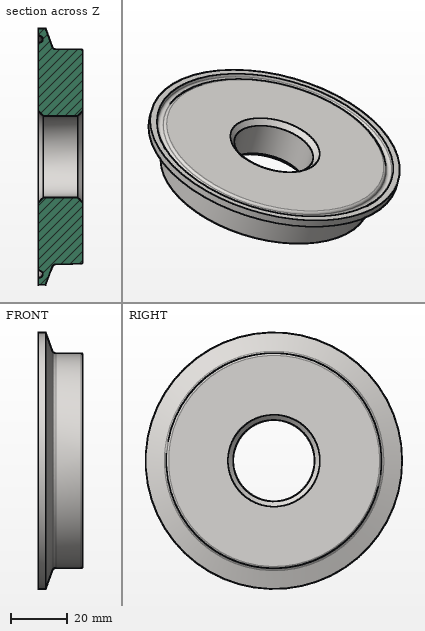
import cadquery as cq
import math

length = 15.9
flange_diameter = 90.9
hub_diameter = 76.2
flange_radius = flange_diameter / 2
hub_radius = hub_diameter / 2

rim_width = 2.7
clamp_angle = 20
hub_root_fillet = 1.2
hub_end_fillet = 0.7

bore_radius = 14.4
mouth_chamfer = 1.9

groove_radius = 41.6
groove_depth = 1.6
groove_bottom_round = 1.1
inner_lip_round = 1.1
outer_wall_angle = 22


def make_body():
    """Flange with a sloped back, running into the cylindrical hub."""
    slope_length = (flange_radius - hub_radius) * math.tan(math.radians(clamp_angle))
    hub_start = rim_width + slope_length
    body = (
        cq.Workplane("XY")
        .moveTo(0, 0)
        .lineTo(0, flange_radius)
        .lineTo(rim_width, flange_radius)
        .lineTo(hub_start, hub_radius)
        .lineTo(length, hub_radius)
        .lineTo(length, 0)
        .close()
        .revolve(360, (0, 0, 0), (1, 0, 0))
    )
    margin = hub_root_fillet / 10
    hub_root = cq.selectors.BoxSelector(
        (hub_start - margin, -flange_radius, -flange_radius),
        (hub_start + margin, flange_radius, flange_radius),
        boundingbox=True,
    )
    return body.edges(hub_root).fillet(hub_root_fillet).faces(">X").edges().fillet(hub_end_fillet)


def make_bore():
    """Round hole along the axis, opened out at 45 degrees at both ends."""
    return (
        cq.Workplane("XY")
        .lineTo(0, bore_radius + mouth_chamfer)
        .lineTo(mouth_chamfer, bore_radius)
        .lineTo(length - mouth_chamfer, bore_radius)
        .lineTo(length, bore_radius + mouth_chamfer)
        .lineTo(length, 0)
        .close()
        .revolve(360, (0, 0, 0), (1, 0, 0))
    )


def arc_point(centre, arc_radius, angle):
    """Point on an arc in the axial section; the angle turns from outwards towards +X."""
    axial, radial = centre
    return (axial + arc_radius * math.sin(angle), radial + arc_radius * math.cos(angle))


def make_groove():
    """Ring-shaped cutter for the gasket groove."""
    bottom_centre = (groove_depth - groove_bottom_round, groove_radius)

    centre_distance = groove_bottom_round + inner_lip_round
    axial_distance = centre_distance - groove_depth
    radial_distance = math.sqrt(centre_distance**2 - axial_distance**2)
    lip_centre = (inner_lip_round, groove_radius - radial_distance)
    joint_angle = math.atan2(-axial_distance, radial_distance)
    face_angle = -math.pi / 2
    inner_edge = arc_point(lip_centre, inner_lip_round, face_angle)
    lip_middle = arc_point(lip_centre, inner_lip_round, (face_angle + joint_angle) / 2)
    inner_joint = arc_point(lip_centre, inner_lip_round, joint_angle)

    wall_angle = math.radians(outer_wall_angle)
    bottom_middle = (groove_depth, groove_radius)
    outer_joint = arc_point(bottom_centre, groove_bottom_round, wall_angle)
    outer_edge = (0, outer_joint[1] + outer_joint[0] * math.tan(wall_angle))
    return (
        cq.Workplane("XY")
        .moveTo(*inner_edge)
        .threePointArc(lip_middle, inner_joint)
        .threePointArc(bottom_middle, outer_joint)
        .lineTo(*outer_edge)
        .close()
        .revolve(360, (0, 0, 0), (1, 0, 0))
    )


result = make_body().cut(make_bore()).cut(make_groove())